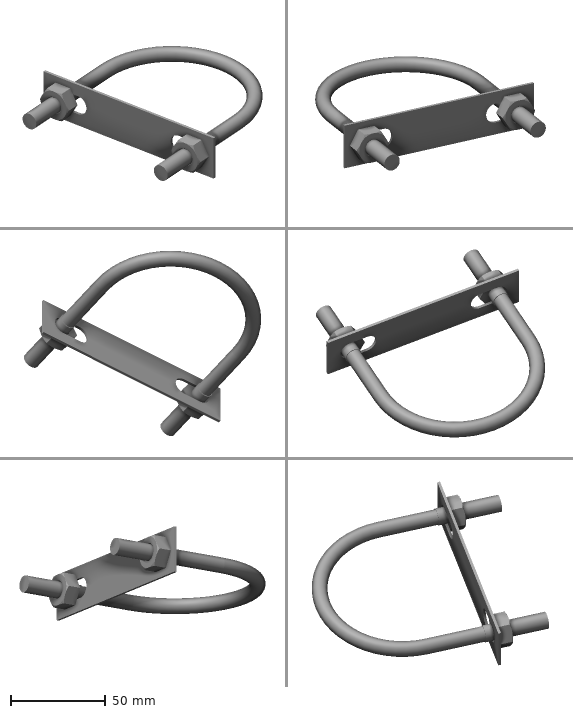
import cadquery as cq
import math

leg_spacing = 88.0
bar_diameter = 8.38
leg_length = 67.0
thread_diameter = 9.2
thread_length = 35.0

plate_length = 114.0
plate_height = 25.0
plate_thickness = 1.5
plate_setback = 29.2
slot_height = 11.0
slot_inner_end = 28.25

nut_across_flats = 17.0
nut_height = 8.0
nut_countersink = 0.4
nut_chamfer_angle = 30.0

leg_x = leg_spacing / 2
leg_end_y = -leg_length
plate_front_y = leg_end_y + plate_setback
nut_outer_y = plate_front_y - nut_height
nut_across_corners = nut_across_flats / math.cos(math.pi / 6)


def xz_plane(x, y):
    """Work plane facing +Y, centred on (x, y)."""
    return cq.Workplane(cq.Plane(origin=(x, y, 0), xDir=(1, 0, 0), normal=(0, 1, 0)))


def make_u_bolt():
    path = (
        cq.Workplane("XY")
        .moveTo(-leg_x, leg_end_y)
        .lineTo(-leg_x, 0)
        .threePointArc((0, leg_x), (leg_x, 0))
        .lineTo(leg_x, leg_end_y)
    )
    bolt = xz_plane(-leg_x, leg_end_y).circle(bar_diameter / 2).sweep(path)
    for x in (-leg_x, leg_x):
        thread = xz_plane(x, leg_end_y).circle(thread_diameter / 2).extrude(thread_length)
        bolt = bolt.union(thread)
    return bolt


def make_plate():
    plate = xz_plane(0, plate_front_y).rect(plate_length, plate_height).extrude(plate_thickness)
    slot_outer_end = leg_x + slot_height / 2
    slot_length = slot_outer_end - slot_inner_end
    slot_x = (slot_outer_end + slot_inner_end) / 2
    for x in (-slot_x, slot_x):
        slot = xz_plane(x, plate_front_y).slot2D(slot_length, slot_height).extrude(plate_thickness)
        plate = plate.cut(slot)
    return plate


def make_nut(x):
    nut = xz_plane(x, nut_outer_y).polygon(6, nut_across_corners).extrude(nut_height)
    face_radius = nut_across_flats / 2
    cone_growth = nut_height / math.tan(math.radians(nut_chamfer_angle))
    cone = (
        cq.Workplane("XY")
        .polyline([
            (0, 0),
            (face_radius, 0),
            (face_radius + cone_growth, nut_height),
            (0, nut_height),
        ])
        .close()
        .revolve(360, (0, 0, 0), (0, 1, 0))
        .translate((x, nut_outer_y, 0))
    )
    bore = xz_plane(x, nut_outer_y).circle(thread_diameter / 2).extrude(nut_height)
    countersink = (
        xz_plane(x, nut_outer_y)
        .circle(thread_diameter / 2 + nut_countersink)
        .extrude(nut_countersink, taper=45)
    )
    return nut.intersect(cone).cut(bore).cut(countersink)


u_bolt = make_u_bolt()
plate = make_plate()
nuts = [make_nut(x) for x in (-leg_x, leg_x)]

result = cq.Compound.makeCompound([u_bolt.val(), plate.val(), *[nut.val() for nut in nuts]])